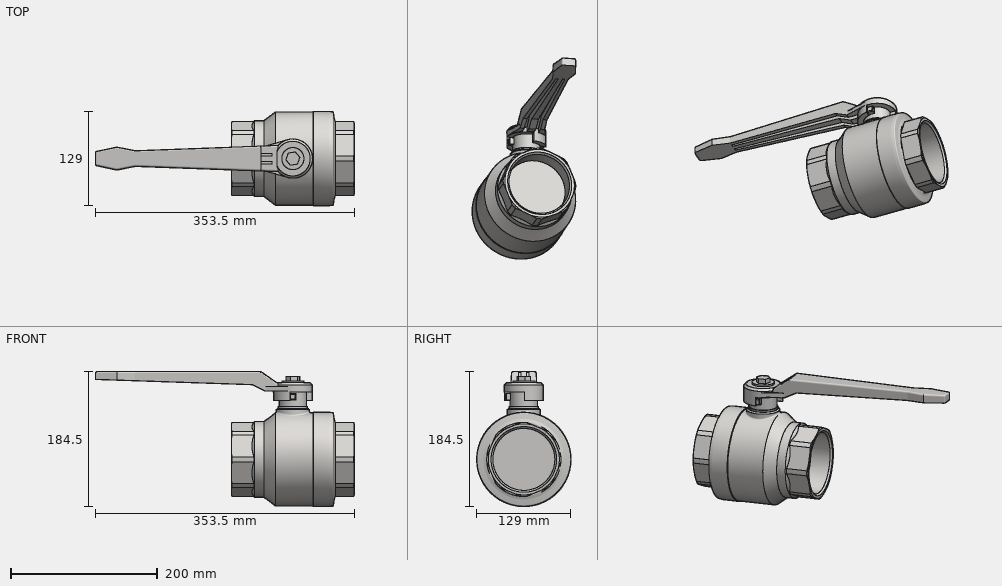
import cadquery as cq
import math


half_length = 84.0
ring_radius = 64.5
barrel_radius = 63.8
collar_radius = 51.9
collar_start_x = -52.0
collar_end_x = -39.5
barrel_start_x = -23.7
ring_start_x = 27.4
ring_taper_x = 50.0
ring_end_x = 55.3
ring_end_radius = 63.9
ring_start_chamfer = 0.7
ring_edge_fillet = 1.5
shoulder_x = 56.6
shoulder_radius = 55.0
shoulder_end_x = 58.0

octagon_apothem = 48.1
octagon_corner_radius = 50.7
end_face_radius = 48.5
end_chamfer_length = 1.0

socket_radius = 42.3
socket_depth = 30.5
socket_chamfer = 2.5

neck_radius = 22.7
neck_top_z = 69.8
neck_chamfer = 2.0
neck_root_fillet = 2.0
flange_radius = 20.0
flange_top_z = 72.3
stem_radius = 18.9

hub_radius = 26.8
hub_bottom_z = 92.2
hub_bevel_z = 101.5
hub_top_radius = 23.7
hub_top_z = 104.7
washer_radius = 15.1
washer_top_z = 107.0
bolt_top_z = 113.4
bolt_corner_radius = 9.7
bolt_turn = 9.0

skirt_bottom_z = 80.2
front_skirt_edge_x = -4.0
front_skirt_edge_y = -4.7
back_skirt_edge = 1.0
pin_half_width = 4.4
pin_reach = 25.2
pin_bottom_z = 81.0
pin_top_z = 90.0
pin_chamfer = 1.2

lever_top_z = 120.0
lever_tip_x = -269.5
lever_tip_half_width = 9.5
lever_tip_bottom_z = 109.0
grip_x = -240.3
grip_half_width = 15.8
waist_x = -215.0
waist_half_width = 10.8
bend_x = -43.6
root_half_width = 17.9
lever_end_x = -20.6
lever_end_z = 103.8
under_bend_x = -55.0
under_bend_z = 101.8
root_x = -37.8
root_z = 93.2
lever_fillet = 2.5

lever_roof = 6.0
slope_roof = 8.5
channel_root_half_width = 11.4
channel_waist_half_width = 6.0
rib_root_half_width = 5.1
rib_tip_half_width = 3.0

groove_depth = 1.5
groove_width = 3.5
groove_offset = 5.4
groove_end_x = -28.5

wing_top_z = 99.7
wing_tangent_x = -7.5


def disk(radius, bottom, top):
    """Upright cylinder on the stem axis."""
    return cq.Workplane("XY").workplane(offset=bottom).circle(radius).extrude(top - bottom)


def block(x0, x1, y0, y1, z0, z1):
    """Axis-aligned box between opposite corners."""
    return cq.Workplane("XY").box(x1 - x0, y1 - y0, z1 - z0, centered=False).translate((x0, y0, z0))


def box_around(center, size_x, size_y, size_z, whole_edge=False):
    """Selector for edges with their middle, or their whole extent, inside a box."""
    half_size = cq.Vector(size_x, size_y, size_z) / 2
    low = (cq.Vector(*center) - half_size).toTuple()
    high = (cq.Vector(*center) + half_size).toTuple()
    return cq.selectors.BoxSelector(low, high, boundingbox=whole_edge)


def revolved_about_x(points):
    """Solid of revolution about the pipe axis from (x, radius) points."""
    profile = cq.Workplane("XY").polyline(points).close()
    return profile.revolve(360, (0, 0, 0), (1, 0, 0))


def mirrored_strip(stations, z0, z1):
    """Plate symmetric about the XZ plane, from (x, half width) stations."""
    far_side = [(x, -half_width) for x, half_width in reversed(stations)]
    outline = cq.Workplane("XY").workplane(offset=z0).polyline(stations + far_side).close()
    return outline.extrude(z1 - z0)


def make_body_shell():
    cone_start_x = collar_start_x - (collar_radius - octagon_apothem)
    shell = revolved_about_x([
        (cone_start_x, 0),
        (cone_start_x, octagon_apothem),
        (collar_start_x, collar_radius),
        (collar_end_x, collar_radius),
        (barrel_start_x, barrel_radius),
        (ring_start_x, barrel_radius),
        (ring_start_x + ring_start_chamfer, ring_radius),
        (ring_taper_x, ring_radius),
        (ring_end_x, ring_end_radius),
        (shoulder_x, shoulder_radius),
        (shoulder_end_x, octagon_corner_radius),
        (shoulder_end_x, 0),
    ])
    ring_edge = box_around((ring_end_x, 0, 0), 1, 2 * half_length, 2 * half_length)
    return shell.edges(ring_edge).fillet(ring_edge_fillet)


def make_octagon_bar():
    """Octagonal bar through the whole valve, with rounded corners and chamfered ends."""
    corner_diameter = 2 * octagon_apothem / math.cos(math.pi / 8)
    octagon = cq.Workplane("YZ").polygon(8, corner_diameter).extrude(half_length, both=True)
    chamfer_x = half_length - end_chamfer_length
    rounding = revolved_about_x([
        (-half_length, 0),
        (-half_length, end_face_radius),
        (-chamfer_x, octagon_corner_radius),
        (chamfer_x, octagon_corner_radius),
        (half_length, end_face_radius),
        (half_length, 0),
    ])
    return octagon.intersect(rounding)


def make_socket(side):
    """Blind pipe socket in the end at side = -1 or +1."""
    mouth_radius = socket_radius + socket_chamfer
    return revolved_about_x([
        (side * half_length, 0),
        (side * half_length, mouth_radius),
        (side * (half_length - socket_chamfer), socket_radius),
        (side * (half_length - socket_depth), socket_radius),
        (side * (half_length - socket_depth), 0),
    ])


def make_body():
    neck = disk(neck_radius, 0, neck_top_z).faces(">Z").chamfer(neck_chamfer)
    body = make_body_shell().union(neck)
    saddle_low_z = math.sqrt(barrel_radius**2 - neck_radius**2)
    saddle_middle = (0, 0, (saddle_low_z + barrel_radius) / 2)
    neck_root = box_around(
        saddle_middle, 2 * neck_radius + 2, 2 * neck_radius + 2, barrel_radius - saddle_low_z + 2, True
    )
    body = body.edges(neck_root).fillet(neck_root_fillet)
    body = body.union(make_octagon_bar())
    for side in (-1, 1):
        body = body.cut(make_socket(side))
    return body


def make_stem():
    stem = disk(stem_radius, barrel_radius, hub_bottom_z)
    stem = stem.union(disk(flange_radius, barrel_radius, flange_top_z))
    for side in (-1, 1):
        pin = block(-pin_half_width, pin_half_width, 0, pin_reach, pin_bottom_z, pin_top_z)
        pin = pin.faces(">Y").chamfer(pin_chamfer)
        stem = stem.union(pin if side > 0 else pin.mirror("XZ"))
    return stem


def make_hub():
    hub = (
        cq.Workplane("XZ")
        .polyline([
            (0, hub_bottom_z),
            (hub_radius, hub_bottom_z),
            (hub_radius, hub_bevel_z),
            (hub_top_radius, hub_top_z),
            (washer_radius, hub_top_z),
            (washer_radius, washer_top_z),
            (0, washer_top_z),
        ])
        .close()
        .revolve(360, (0, 0, 0), (0, 1, 0))
    )
    bolt = (
        cq.Workplane("XY")
        .workplane(offset=washer_top_z)
        .polygon(6, 2 * bolt_corner_radius)
        .extrude(bolt_top_z - washer_top_z)
        .rotate((0, 0, 0), (0, 0, 1), bolt_turn)
    )
    return hub.union(bolt)


def make_skirt():
    """Two opposite quarter skirts under the hub beside the stop pins."""
    ring = disk(hub_radius, skirt_bottom_z, hub_bottom_z).cut(
        disk(stem_radius, skirt_bottom_z, hub_bottom_z)
    )
    front_quarter = block(
        -hub_radius, front_skirt_edge_x, -hub_radius, front_skirt_edge_y, skirt_bottom_z, hub_bottom_z
    )
    back_quarter = block(
        back_skirt_edge, hub_radius, back_skirt_edge, hub_radius, skirt_bottom_z, hub_bottom_z
    )
    return ring.intersect(front_quarter.union(back_quarter))


def make_lever_blank():
    side_profile = (
        cq.Workplane("XZ")
        .polyline([
            (lever_tip_x, lever_tip_bottom_z),
            (lever_tip_x, lever_top_z),
            (bend_x, lever_top_z),
            (lever_end_x, lever_end_z),
            (lever_end_x, root_z),
            (root_x, root_z),
            (under_bend_x, under_bend_z),
        ])
        .close()
        .extrude(2 * root_half_width, both=True)
    )
    plan = mirrored_strip(
        [
            (lever_tip_x, lever_tip_half_width),
            (grip_x, grip_half_width),
            (waist_x, waist_half_width),
            (lever_end_x, root_half_width),
        ],
        root_z,
        lever_top_z,
    )
    blank = side_profile.intersect(plan)
    blank = blank.faces("<X").edges("|Z").fillet(lever_fillet)
    top_outline = blank.faces(">Z").edges("not(>X)")
    slope_x = (bend_x + lever_end_x) / 2
    slope_z = (lever_top_z + lever_end_z) / 2
    slope_sides = box_around((slope_x, 0, slope_z), 2, 2 * root_half_width, 2)
    return top_outline.add(blank.edges(slope_sides)).fillet(lever_fillet)


def make_lever_channel():
    """Hollow under the lever, with a rib left standing on the centre line."""
    roof_z = lever_top_z - lever_roof
    side_profile = (
        cq.Workplane("XZ")
        .polyline([
            (waist_x, root_z),
            (waist_x, roof_z),
            (bend_x, lever_top_z - slope_roof),
            (lever_end_x, lever_end_z - slope_roof),
            (lever_end_x, root_z),
        ])
        .close()
        .extrude(2 * root_half_width, both=True)
    )
    plan = mirrored_strip(
        [
            (waist_x, channel_waist_half_width),
            (bend_x, channel_root_half_width),
            (lever_end_x, channel_root_half_width),
        ],
        root_z,
        lever_top_z,
    )
    rib = mirrored_strip(
        [(waist_x, rib_tip_half_width), (lever_end_x, rib_root_half_width)],
        root_z,
        lever_top_z,
    )
    return side_profile.intersect(plan).cut(rib)


def make_slope_grooves():
    """Two shallow grooves running down the sloping face from the bend."""
    fall = (lever_top_z - lever_end_z) / (lever_end_x - bend_x)
    floor_start_z = lever_top_z - groove_depth
    floor_end_z = floor_start_z - fall * (groove_end_x - bend_x)
    groove = (
        cq.Workplane("XZ")
        .polyline([
            (bend_x, lever_top_z),
            (bend_x, floor_start_z),
            (groove_end_x, floor_end_z),
            (groove_end_x, lever_top_z),
        ])
        .close()
        .extrude(groove_width / 2, both=True)
    )
    near_groove = groove.translate((0, -groove_offset, 0))
    return near_groove.union(groove.translate((0, groove_offset, 0)))


def make_wings():
    """Plate whose slanted sides run from the lever root tangent to the hub."""
    tangent_y = math.sqrt(hub_radius**2 - wing_tangent_x**2)
    root_y = tangent_y + (root_x - wing_tangent_x) * -wing_tangent_x / tangent_y
    plate = mirrored_strip([(root_x, root_y), (wing_tangent_x, tangent_y)], root_z, wing_top_z)
    gap = block(
        root_x, lever_end_x, -channel_root_half_width, channel_root_half_width, root_z, wing_top_z
    )
    return plate.cut(gap)


def make_lever():
    lever = make_lever_blank().cut(make_lever_channel())
    return lever.cut(make_slope_grooves()).union(make_wings())


result = (
    make_body()
    .union(make_stem())
    .union(make_lever())
    .union(make_hub())
    .union(make_skirt())
)